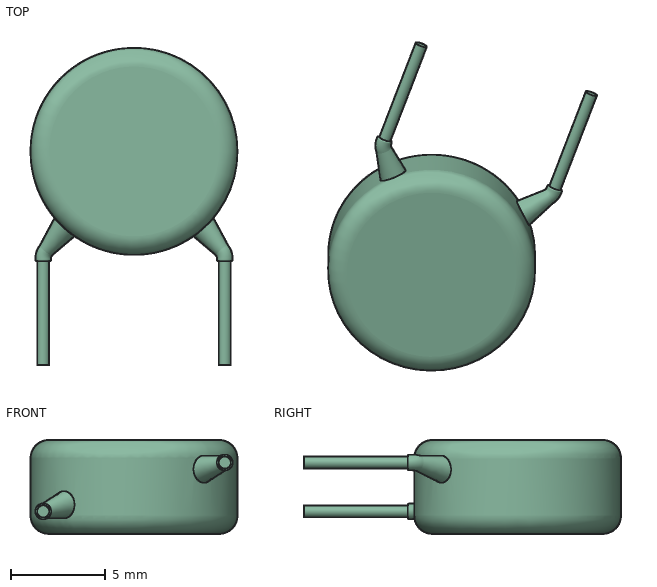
import cadquery as cq
import math


DISC_DIAMETER = 11.0
DISC_HEIGHT = 5.0
DISC_FILLET = 1.0

TOTAL_LENGTH = 16.85
WIRE_RADIUS = 0.32
LEAD_X = 4.82
LEAD_Z = 1.3
LEAD_TIP_Y = DISC_DIAMETER / 2 - TOTAL_LENGTH

BEND_RADIUS = 0.65
BEND_ANGLE = 40.0
BEND_TILT = 16.5
BEND_START_Y = -5.68
ROOT_LENGTH = 2.53

SLEEVE_RADIUS = 0.42
SLEEVE_END_Y = -5.83
SLEEVE_END_FILLET = 0.08
CONE_HALF_ANGLE = 10.5
CONE_ROOT_RADIUS = SLEEVE_RADIUS + ROOT_LENGTH * math.tan(math.radians(CONE_HALF_ANGLE))

Y_AXIS = cq.Vector(0, 1, 0)
BEND_RADIANS = math.radians(BEND_ANGLE)
BEND_END = cq.Vector(
    BEND_RADIUS * (1 - math.cos(BEND_RADIANS)),
    BEND_START_Y + BEND_RADIUS * math.sin(BEND_RADIANS),
    0,
)
ROOT_DIRECTION = cq.Vector(math.sin(BEND_RADIANS), math.cos(BEND_RADIANS), 0)


def bent_rod(radius, front_y, root_radius, front_fillet=0):
    """Rod along the Y axis from front_y that bends toward +X and runs on straight or tapered."""
    straight = cq.Workplane(
        cq.Solid.makeCylinder(radius, BEND_START_Y - front_y, cq.Vector(0, front_y, 0), Y_AXIS)
    )
    if front_fillet:
        straight = straight.faces("<Y").edges().fillet(front_fillet)
    bend = (
        cq.Workplane("XZ", origin=(0, BEND_START_Y, 0))
        .circle(radius)
        .revolve(BEND_ANGLE, (BEND_RADIUS, 0.17, 0), (BEND_RADIUS, 0, 0))
    )
    if root_radius == radius:
        root = cq.Solid.makeCylinder(radius, ROOT_LENGTH, BEND_END, ROOT_DIRECTION)
    else:
        root = cq.Solid.makeCone(radius, root_radius, ROOT_LENGTH, BEND_END, ROOT_DIRECTION)
    return straight.union(bend).union(cq.Workplane(root))


def place_lead(shape, turn):
    """Move a rod to the lower left lead, then turn it about the Y axis of the disc."""
    return (
        shape.rotate((0, 0, 0), (0, 1, 0), -BEND_TILT)
        .translate((-LEAD_X, 0, -LEAD_Z))
        .rotate((0, 0, 0), (0, 1, 0), turn)
    )


def make_wire(turn):
    wire = bent_rod(WIRE_RADIUS, LEAD_TIP_Y, WIRE_RADIUS)
    return place_lead(wire, turn).solids().val()


def make_sleeve(turn):
    sleeve = bent_rod(SLEEVE_RADIUS, SLEEVE_END_Y, CONE_ROOT_RADIUS, SLEEVE_END_FILLET)
    return place_lead(sleeve, turn)


def make_coating(turns, wires):
    """Rounded disc with a sleeve around each lead, hollowed where the wires sit."""
    coating = (
        cq.Workplane("XY")
        .cylinder(DISC_HEIGHT, DISC_DIAMETER / 2)
        .faces("<Z or >Z")
        .edges()
        .fillet(DISC_FILLET)
    )
    for turn in turns:
        coating = coating.union(make_sleeve(turn))
    for wire in wires:
        coating = coating.cut(cq.Workplane(wire))
    return coating.solids().val()


LEAD_TURNS = (0, 180)
wires = [make_wire(turn) for turn in LEAD_TURNS]
coating = make_coating(LEAD_TURNS, wires)

result = cq.Compound.makeCompound([coating, *wires])